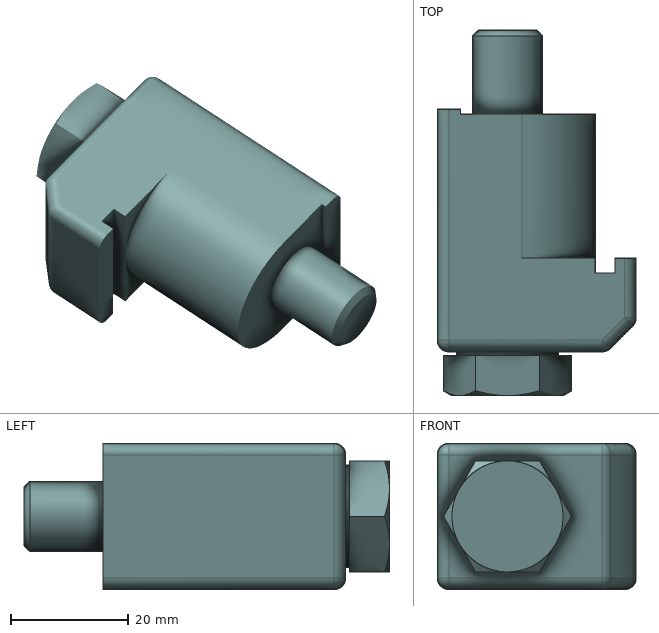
import cadquery as cq
import math

body_height = 25.0
half_height = body_height / 2
left_x = -12.0
right_x = 22.0
edge_radius = 2.0

lip_width = 4.0
lip_top_y = 41.5
shoulder_y = 40.6

nose_x = 15.0
nose_base_y = 16.0
nose_radius = half_height
nose_center_x = nose_x - nose_radius

groove_width = 3.4
groove_floor_y = 13.5
corner_chamfer = 5.0

bolt_length = 62.5
head_end_y = -7.5
washer_thickness = 0.6
washer_radius = 8.75
head_across_flats = 19.0
head_chamfer_angle = 30.0
shank_radius = 6.0
tip_chamfer = 1.0


def cylinder_y(radius, start_y, end_y):
    """Cylinder on the bolt axis between two Y positions."""
    return cq.Workplane("XZ", origin=(0, start_y, 0)).circle(radius).extrude(start_y - end_y)


def make_block():
    """L-shaped block with a bevelled corner and rounded outer edges."""
    block = (
        cq.Workplane("XY", origin=(0, 0, -half_height))
        .moveTo(left_x, 0)
        .lineTo(right_x - corner_chamfer, 0)
        .lineTo(right_x, corner_chamfer)
        .lineTo(right_x, nose_base_y)
        .lineTo(nose_x, nose_base_y)
        .lineTo(nose_x, lip_top_y)
        .lineTo(left_x, lip_top_y)
        .close()
        .extrude(body_height)
    )
    long_rims = block.edges("|Y").edges("<X or >X")
    front_rims = block.faces("<Y").edges()
    bevel_rims = block.edges("|(1, 1, 0)")
    bevel_end = block.edges("|Z").edges(">X").edges("<Y")
    return (
        block.newObject(long_rims.vals() + front_rims.vals() + bevel_rims.vals() + bevel_end.vals())
        .fillet(edge_radius)
    )


def round_nose(block):
    """Turn the upper right of the block into a half-round nose along Y."""
    nose_length = lip_top_y - nose_base_y
    square_zone = cq.Workplane("XY").box(
        nose_radius, nose_length, body_height, centered=(False, False, True)
    ).translate((nose_center_x, nose_base_y, 0))
    half_round = cylinder_y(nose_radius, nose_base_y, lip_top_y).translate((nose_center_x, 0, 0))
    return block.cut(square_zone.cut(half_round))


def cut_slab(block, start_x, end_x, floor_y):
    """Remove everything above floor_y between two X positions over the full height."""
    slab = cq.Workplane("XY").box(
        end_x - start_x, lip_top_y - floor_y, body_height, centered=(False, False, True)
    ).translate((start_x, floor_y, 0))
    return block.cut(slab)


def make_bolt():
    """Bolt with washer face, chamfered hexagon head and chamfered tip."""
    head_top_y = -washer_thickness
    head_circumradius = head_across_flats / 2 / math.cos(math.pi / 6)
    head = (
        cq.Workplane("XZ", origin=(0, head_top_y, 0))
        .polygon(6, 2 * head_circumradius)
        .extrude(head_top_y - head_end_y)
    )
    flat_radius = head_across_flats / 2
    chamfer_depth = (head_circumradius - flat_radius) * math.tan(math.radians(head_chamfer_angle))
    envelope = (
        cq.Workplane("XY")
        .polyline([
            (0, head_end_y),
            (flat_radius, head_end_y),
            (head_circumradius, head_end_y + chamfer_depth),
            (head_circumradius, head_top_y),
            (0, head_top_y),
        ])
        .close()
        .revolve(360, (0, 0, 0), (0, 1, 0))
    )
    washer = cylinder_y(washer_radius, head_top_y, 0)
    shank = cylinder_y(shank_radius, 0, head_end_y + bolt_length).faces(">Y").chamfer(tip_chamfer)
    return head.intersect(envelope).union(washer).union(shank)


body = round_nose(make_block())
body = cut_slab(body, left_x + lip_width, nose_x, shoulder_y)
body = cut_slab(body, nose_x, nose_x + groove_width, groove_floor_y)
result = body.union(make_bolt())